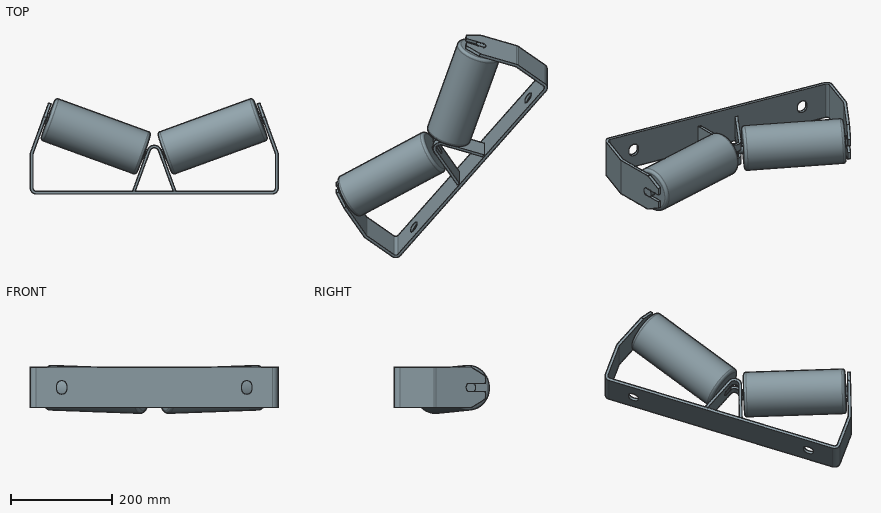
import cadquery as cq
import math

FRAME_LENGTH = 490.0
FRAME_HEIGHT = 80.0
FRAME_THICKNESS = 6.0
FRAME_BEND_RADIUS = 12.0
ARM_BEND_Y = 81.0
ARM_TIP_Y = 180.5
TIP_CHAMFER_RUN = 29.5
TIP_CHAMFER_DROP = 17.0
MOUNT_HOLE_SPACING = 365.5
MOUNT_HOLE_WIDTH = 20.0
MOUNT_HOLE_HEIGHT = 27.0

SLANT = 20.0
TILT = 2.0
ROLLER_DIAMETER = 88.5
ROLLER_LENGTH = 201.0
ROLLER_EDGE_RADIUS = 6.0
AXLE_DIAMETER = 20.0
AXLE_LENGTH = 221.0
AXLE_ACROSS_FLATS = 16.0
AXLE_FLAT_LENGTH = 7.5
AXLE_OUTER_Y = 152.0

BRACKET_THICKNESS = 5.5
BRACKET_HEIGHT = 50.0
BRACKET_BEND_RADIUS = 14.0

COS = math.cos(math.radians(SLANT))
SIN = math.sin(math.radians(SLANT))
TAN = SIN / COS
PLAN_AXLE_LENGTH = AXLE_LENGTH * math.cos(math.radians(TILT))
AXLE_OUTER_X = -FRAME_LENGTH / 2 + (AXLE_OUTER_Y - ARM_BEND_Y) * TAN
AXLE_OUTER_Z = FRAME_HEIGHT / 2
AXLE_INNER_X = AXLE_OUTER_X + PLAN_AXLE_LENGTH * COS
AXLE_INNER_Y = AXLE_OUTER_Y - PLAN_AXLE_LENGTH * SIN
AXLE_INNER_Z = AXLE_OUTER_Z - AXLE_LENGTH * math.sin(math.radians(TILT))
ROLLER_CENTRE = (
    (AXLE_OUTER_X + AXLE_INNER_X) / 2,
    (AXLE_OUTER_Y + AXLE_INNER_Y) / 2,
    (AXLE_OUTER_Z + AXLE_INNER_Z) / 2,
)


def place_left(body):
    """Move a body built along X about the origin onto the left axle line."""
    tilted = body.rotate((0, 0, 0), (0, 1, 0), TILT)
    return tilted.rotate((0, 0, 0), (0, 0, 1), -SLANT).translate(ROLLER_CENTRE)


def both_sides(left_body):
    """The left body and its mirror image across the YZ plane."""
    return [left_body, left_body.mirror("YZ")]


def rod(diameter, length):
    """Round bar along X, centred on the origin."""
    return cq.Workplane("YZ").workplane(offset=-length / 2).circle(diameter / 2).extrude(length)


def flat_bar(length):
    """Bar along X with the section of the axle ends: round with two flats."""
    flats = cq.Workplane("XY").box(length, AXLE_DIAMETER, AXLE_ACROSS_FLATS)
    return rod(AXLE_DIAMETER, length).intersect(flats)


def bent_strip(corners, bend_radius, thickness, height):
    """Strip standing on Z = 0 that follows the mid-line corners with round bends."""
    path = cq.Wire.makePolygon([cq.Vector(x, y, 0) for x, y in corners])
    path = path.fillet(bend_radius - thickness / 2, path.Vertices()[1:-1])
    section = cq.Plane(path.startPoint(), xDir=(0, 0, 1), normal=path.tangentAt(0))
    return cq.Workplane(section).center(height / 2, 0).rect(height, thickness).sweep(path)


def cut_axle_seats(body, axle_y, axle_z):
    """Cut a slot, open to +Y, down to the axle centres, then the axle ends' own shape."""
    slot = cq.Workplane("XY").box(FRAME_LENGTH, ARM_TIP_Y, AXLE_ACROSS_FLATS, centered=(True, False, True))
    body = body.cut(slot.translate((0, axle_y, axle_z)))
    seat = place_left(flat_bar(AXLE_LENGTH + 2 * FRAME_THICKNESS))
    for cutter in both_sides(seat):
        body = body.cut(cutter)
    return body


def cut_tip_chamfers(body):
    """Chamfer the top and bottom corners of both arm tips."""
    run = TIP_CHAMFER_RUN * COS
    corner = [(ARM_TIP_Y - run, 0), (ARM_TIP_Y, 0), (ARM_TIP_Y, TIP_CHAMFER_DROP)]
    lower = cq.Workplane("YZ").polyline(corner).close().extrude(FRAME_LENGTH / 2, both=True)
    upper = lower.mirror("XY").translate((0, 0, FRAME_HEIGHT))
    return body.cut(lower).cut(upper)


def make_frame():
    half = FRAME_THICKNESS / 2
    wall_x = -FRAME_LENGTH / 2 + half
    bend_y = ARM_BEND_Y - half * math.tan(math.radians(SLANT / 2))
    tip_y = ARM_TIP_Y - half * SIN
    left = [(wall_x + (tip_y - bend_y) * TAN, tip_y), (wall_x, bend_y), (wall_x, half)]
    right = [(-x, y) for x, y in reversed(left)]
    frame = bent_strip(left + right, FRAME_BEND_RADIUS, FRAME_THICKNESS, FRAME_HEIGHT)

    frame = cut_tip_chamfers(frame)
    frame = cut_axle_seats(frame, AXLE_OUTER_Y, AXLE_OUTER_Z)
    half_spacing = MOUNT_HOLE_SPACING / 2
    mount_holes = (
        cq.Workplane("XZ", origin=(0, 0, FRAME_HEIGHT / 2))
        .pushPoints([(-half_spacing, 0), (half_spacing, 0)])
        .slot2D(MOUNT_HOLE_HEIGHT, MOUNT_HOLE_WIDTH, 90)
        .extrude(-FRAME_THICKNESS)
    )
    return frame.cut(mount_holes)


def make_bracket():
    half = BRACKET_THICKNESS / 2
    apex_y = AXLE_INNER_Y - AXLE_INNER_X / TAN + half / SIN
    foot_x = apex_y * TAN
    corners = [(-foot_x, 0), (0, apex_y), (foot_x, 0)]
    bracket = bent_strip(corners, BRACKET_BEND_RADIUS, BRACKET_THICKNESS, BRACKET_HEIGHT)
    bracket = bracket.translate((0, 0, AXLE_INNER_Z - BRACKET_HEIGHT / 2))

    back = cq.Workplane("XY").box(FRAME_LENGTH, 2 * FRAME_THICKNESS, 2 * FRAME_HEIGHT)
    return cut_axle_seats(bracket.cut(back), AXLE_INNER_Y, AXLE_INNER_Z)


def make_left_roller():
    drum = rod(ROLLER_DIAMETER, ROLLER_LENGTH).edges("%CIRCLE").fillet(ROLLER_EDGE_RADIUS)
    axle = rod(AXLE_DIAMETER, AXLE_LENGTH - 2 * AXLE_FLAT_LENGTH).union(flat_bar(AXLE_LENGTH))
    return place_left(drum.union(axle))


frame = make_frame()
bracket = make_bracket()
rollers = both_sides(make_left_roller())

result = cq.Compound.makeCompound([frame.val(), bracket.val(), *[roller.val() for roller in rollers]])